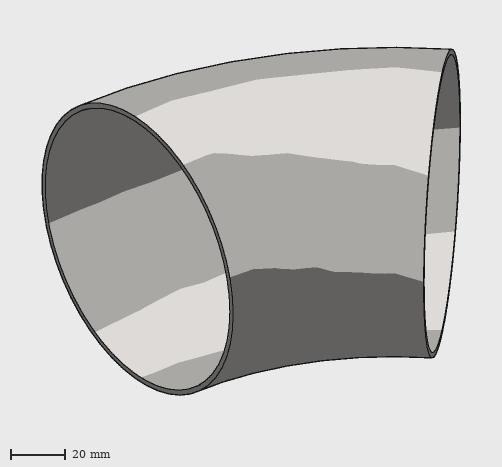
import cadquery as cq
import math

bend_angle = 45.0
length_y = 148.2
outer_diameter = 114.3
inner_diameter = 110.3

outer_bend_radius = length_y / math.sin(math.radians(bend_angle))
bend_radius = outer_bend_radius - outer_diameter / 2

tube_section = cq.Workplane("XZ").circle(outer_diameter / 2).circle(inner_diameter / 2)

axis_start = (bend_radius, 0)
axis_end = (bend_radius, -1)
result = tube_section.revolve(bend_angle, axis_start, axis_end)